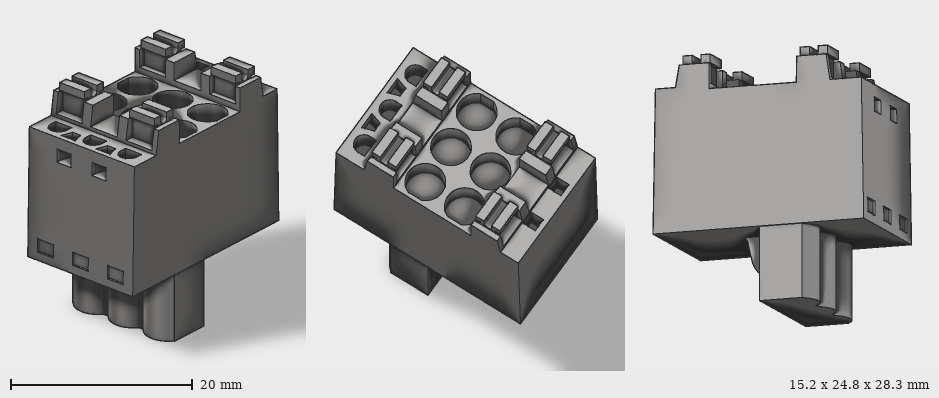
import cadquery as cq
import math


POLE_PITCH = 5.07
POLES_X = [-POLE_PITCH, 0, POLE_PITCH]
BETWEEN_POLES_X = [-POLE_PITCH / 2, POLE_PITCH / 2]

HOUSING_WIDTH = 15.25
HOUSING_DEPTH = 24.75
DECK_Z = 15.9
BACK_SHELF_Z = 16.32
FACE_LEAN_ANGLE = 1
FACE_LEAN = math.tan(math.radians(FACE_LEAN_ANGLE))

TOWER_TOP_Z = 18.8
BACK_TOWER_INNER_Y = 5.8
BACK_TOWER_TOP_Y = 9.3
BACK_TOWER_BASE_Y = 9.75
FRONT_TOWER_INNER_TOP_Y = -4.5
FRONT_TOWER_INNER_BASE_Y = -4.45
FRONT_TOWER_TOP_Y = -7.95
FRONT_TOWER_BASE_Y = -8.4
FRONT_FLOOR_Z = 16.3
BACK_FLOOR_Z = 16.63
MIDDLE_GAP = 3.88
WINDOW_WIDTH = 3.75

BUTTON_X = POLE_PITCH
BACK_BUTTON_Y = 7.54
FRONT_BUTTON_Y = -6.23
BUTTON_WIDTH = 3.57
HEAD_DEPTH = 3.2
NECK_DEPTH = 2.05
HEAD_BASE_Z = 19.0
BUTTON_TOP_Z = 19.97
GROOVE_RADIUS = 0.5
GROOVE_AXIS_Z = 19.3

WELL_RADIUS = 2.25
WELL_DEPTH = 2.55
WELL_ROWS_Y = [3.3, -1.95]
WELL_OUTER_WALL = 0.48

TEST_PORT_RADIUS = 1.15
TEST_PORT_ARC_Y = -10.09
TEST_PORT_BACK_Y = -9.24
TEST_PORT_DEPTH = 2.83
KEY_POCKET_FRONT_Y = -11.45
KEY_POCKET_BACK_Y = -10.03
KEY_POCKET_FRONT_WIDTH = 2.05
KEY_POCKET_BACK_WIDTH = 1.13
KEY_POCKET_FLOOR_Z = 12.85
KEY_WINDOW_TOP_Z = 14.48

BACK_POCKET_SIZE = 1.61
BACK_POCKET_Y = 10.65
BACK_POCKET_DEPTH = 2.83

RECESS_WIDTH = 2.3
RECESS_BASE_Z = 1.02
RECESS_TOP_Z = 2.63
RECESS_DEPTH = 0.23

PLUG_LENGTH = 8.35
PLUG_WIDTH = 14.8
PLUG_BACK_Y = -0.05
PLUG_WEB_Y = -5.05
PLUG_FRONT_Y = -6.15
BULGE_WIDTH = 4.45

LATCH_WIDTH = 4.5
LATCH_ROOT_BACK_Y = 3.57
LATCH_BACK_TOP = (3.23, -0.42)
LATCH_BACK_BEND = (2.7, -2.83)
LATCH_SWEEP_MIDDLE = (2.35, -3.55)
LATCH_TIP = (1.75, -4.25)
LATCH_NOSE_MIDDLE = (1.3, -4.02)
LATCH_NOSE_TOP = (1.3, -3.3)
LATCH_FRONT_Y = 1.65
LATCH_HOOK_Z = -2.95
LATCH_FLARE_Z = -1.05
LATCH_ROOT_FRONT_Y = 1.25


def box(x_range, y_range, z_range):
    """Axis-aligned box given by its limits."""
    (x0, x1), (y0, y1), (z0, z1) = x_range, y_range, z_range
    return cq.Workplane("XY").box(x1 - x0, y1 - y0, z1 - z0, centered=False).translate((x0, y0, z0))


def span(center, width):
    """Lower and upper limit of a width about a center."""
    return (center - width / 2, center + width / 2)


def face_y(z):
    """Distance of the leaning front and back faces from the middle at height z."""
    return HOUSING_DEPTH / 2 - z * FACE_LEAN


def make_block():
    """Housing block with both tower ridges, swept across the full width."""
    profile = [
        (-face_y(0), 0),
        (-face_y(DECK_Z), DECK_Z),
        (FRONT_TOWER_BASE_Y, DECK_Z),
        (FRONT_TOWER_TOP_Y, TOWER_TOP_Z),
        (FRONT_TOWER_INNER_TOP_Y, TOWER_TOP_Z),
        (FRONT_TOWER_INNER_BASE_Y, DECK_Z),
        (BACK_TOWER_INNER_Y, DECK_Z),
        (BACK_TOWER_INNER_Y, TOWER_TOP_Z),
        (BACK_TOWER_TOP_Y, TOWER_TOP_Z),
        (BACK_TOWER_BASE_Y, BACK_SHELF_Z),
        (face_y(BACK_SHELF_Z), BACK_SHELF_Z),
        (face_y(0), 0),
    ]
    return cq.Workplane("YZ").polyline(profile).close().extrude(HOUSING_WIDTH / 2, both=True)


def cut_tower_windows(body):
    """Split each ridge into two towers and open a button window through each tower."""
    openings = [(0, MIDDLE_GAP), (-BUTTON_X, WINDOW_WIDTH), (BUTTON_X, WINDOW_WIDTH)]
    ridges = [
        ((FRONT_TOWER_BASE_Y, FRONT_TOWER_INNER_BASE_Y), FRONT_FLOOR_Z),
        ((BACK_TOWER_INNER_Y, BACK_TOWER_BASE_Y), BACK_FLOOR_Z),
    ]
    for ridge_y, floor_z in ridges:
        for x, width in openings:
            body = body.cut(box(span(x, width), ridge_y, (floor_z, TOWER_TOP_Z)))
    return body


def cut_wells(body):
    """Two rows of round wells; the outer ones are flattened along the housing side."""
    reach = HOUSING_WIDTH / 2 - WELL_OUTER_WALL
    for y in WELL_ROWS_Y:
        wells = (
            cq.Workplane("XY", origin=(0, y, DECK_Z))
            .pushPoints([(x, 0) for x in POLES_X])
            .circle(WELL_RADIUS)
            .extrude(-WELL_DEPTH)
        )
        limits = box((-reach, reach), span(y, 2 * WELL_RADIUS), (DECK_Z - WELL_DEPTH, DECK_Z))
        body = body.cut(wells.intersect(limits))
    return body


def cut_test_ports(body):
    """D-shaped pockets in the front ledge, round side to the front."""
    for x in POLES_X:
        port = (
            cq.Workplane("XY", origin=(x, 0, DECK_Z))
            .moveTo(-TEST_PORT_RADIUS, TEST_PORT_BACK_Y)
            .lineTo(-TEST_PORT_RADIUS, TEST_PORT_ARC_Y)
            .threePointArc((0, TEST_PORT_ARC_Y - TEST_PORT_RADIUS), (TEST_PORT_RADIUS, TEST_PORT_ARC_Y))
            .lineTo(TEST_PORT_RADIUS, TEST_PORT_BACK_Y)
            .close()
            .extrude(-TEST_PORT_DEPTH)
        )
        body = body.cut(port)
    return body


def cut_key_pockets(body):
    """Trapezoid pockets in the front ledge, each with a window through the front face."""
    outline = [
        (-KEY_POCKET_FRONT_WIDTH / 2, KEY_POCKET_FRONT_Y),
        (KEY_POCKET_FRONT_WIDTH / 2, KEY_POCKET_FRONT_Y),
        (KEY_POCKET_BACK_WIDTH / 2, KEY_POCKET_BACK_Y),
        (-KEY_POCKET_BACK_WIDTH / 2, KEY_POCKET_BACK_Y),
    ]
    for x in BETWEEN_POLES_X:
        pocket = (
            cq.Workplane("XY", origin=(x, 0, KEY_POCKET_FLOOR_Z))
            .polyline(outline)
            .close()
            .extrude(DECK_Z - KEY_POCKET_FLOOR_Z)
        )
        window = box(
            span(x, KEY_POCKET_FRONT_WIDTH),
            (-HOUSING_DEPTH / 2, KEY_POCKET_FRONT_Y),
            (KEY_POCKET_FLOOR_Z, KEY_WINDOW_TOP_Z),
        )
        body = body.cut(pocket).cut(window)
    return body


def cut_back_pockets(body):
    """Square pockets in the back shelf."""
    for x in BETWEEN_POLES_X:
        pocket = box(
            span(x, BACK_POCKET_SIZE),
            span(BACK_POCKET_Y, BACK_POCKET_SIZE),
            (BACK_SHELF_Z - BACK_POCKET_DEPTH, BACK_SHELF_Z),
        )
        body = body.cut(pocket)
    return body


def cut_front_recesses(body):
    """Shallow rectangular recesses low on the front face, one per pole."""
    floor_y = RECESS_DEPTH - face_y(RECESS_TOP_Z)
    for x in POLES_X:
        recess = box(
            span(x, RECESS_WIDTH),
            (-HOUSING_DEPTH / 2, floor_y),
            (RECESS_BASE_Z, RECESS_TOP_Z),
        )
        body = body.cut(recess)
    return body


def make_plug():
    """Plug block hanging below the housing, with a rounded bulge on the front of each pole."""
    outline = cq.Workplane("XY").moveTo(-PLUG_WIDTH / 2, PLUG_BACK_Y).lineTo(-PLUG_WIDTH / 2, PLUG_WEB_Y)
    for x in POLES_X:
        left, right = span(x, BULGE_WIDTH)
        outline = (
            outline.lineTo(left, PLUG_WEB_Y)
            .threePointArc((x, PLUG_FRONT_Y), (right, PLUG_WEB_Y))
        )
    outline = outline.lineTo(PLUG_WIDTH / 2, PLUG_WEB_Y).lineTo(PLUG_WIDTH / 2, PLUG_BACK_Y)
    return outline.close().extrude(-PLUG_LENGTH)


def make_latch():
    """Curved latch arm with a rounded hook nose, facing the plug."""
    return (
        cq.Workplane("YZ")
        .moveTo(LATCH_ROOT_BACK_Y, 0)
        .lineTo(*LATCH_BACK_TOP)
        .lineTo(*LATCH_BACK_BEND)
        .threePointArc(LATCH_SWEEP_MIDDLE, LATCH_TIP)
        .threePointArc(LATCH_NOSE_MIDDLE, LATCH_NOSE_TOP)
        .lineTo(LATCH_FRONT_Y, LATCH_HOOK_Z)
        .lineTo(LATCH_FRONT_Y, LATCH_FLARE_Z)
        .lineTo(LATCH_ROOT_FRONT_Y, 0)
        .close()
        .extrude(LATCH_WIDTH / 2, both=True)
    )


def make_housing():
    body = make_block()
    body = cut_tower_windows(body)
    body = cut_wells(body)
    body = cut_test_ports(body)
    body = cut_key_pockets(body)
    body = cut_back_pockets(body)
    body = cut_front_recesses(body)
    return body.union(make_plug()).union(make_latch())


def make_button(x, y, floor_z):
    """T-shaped button standing on a window floor, with a round-bottomed groove along its top."""
    button_x = span(x, BUTTON_WIDTH)
    neck = box(button_x, span(y, NECK_DEPTH), (floor_z, HEAD_BASE_Z))
    head = box(button_x, span(y, HEAD_DEPTH), (HEAD_BASE_Z, BUTTON_TOP_Z))
    groove = (
        cq.Workplane("YZ", origin=(x, y, 0))
        .moveTo(-GROOVE_RADIUS, BUTTON_TOP_Z)
        .lineTo(-GROOVE_RADIUS, GROOVE_AXIS_Z)
        .threePointArc((0, GROOVE_AXIS_Z - GROOVE_RADIUS), (GROOVE_RADIUS, GROOVE_AXIS_Z))
        .lineTo(GROOVE_RADIUS, BUTTON_TOP_Z)
        .close()
        .extrude(BUTTON_WIDTH / 2, both=True)
    )
    return neck.union(head).cut(groove)


housing = make_housing()
buttons = []
for row_y, row_floor_z in [(FRONT_BUTTON_Y, FRONT_FLOOR_Z), (BACK_BUTTON_Y, BACK_FLOOR_Z)]:
    for column_x in [-BUTTON_X, BUTTON_X]:
        buttons.append(make_button(column_x, row_y, row_floor_z).val())

result = cq.Compound.makeCompound([housing.val(), *buttons])